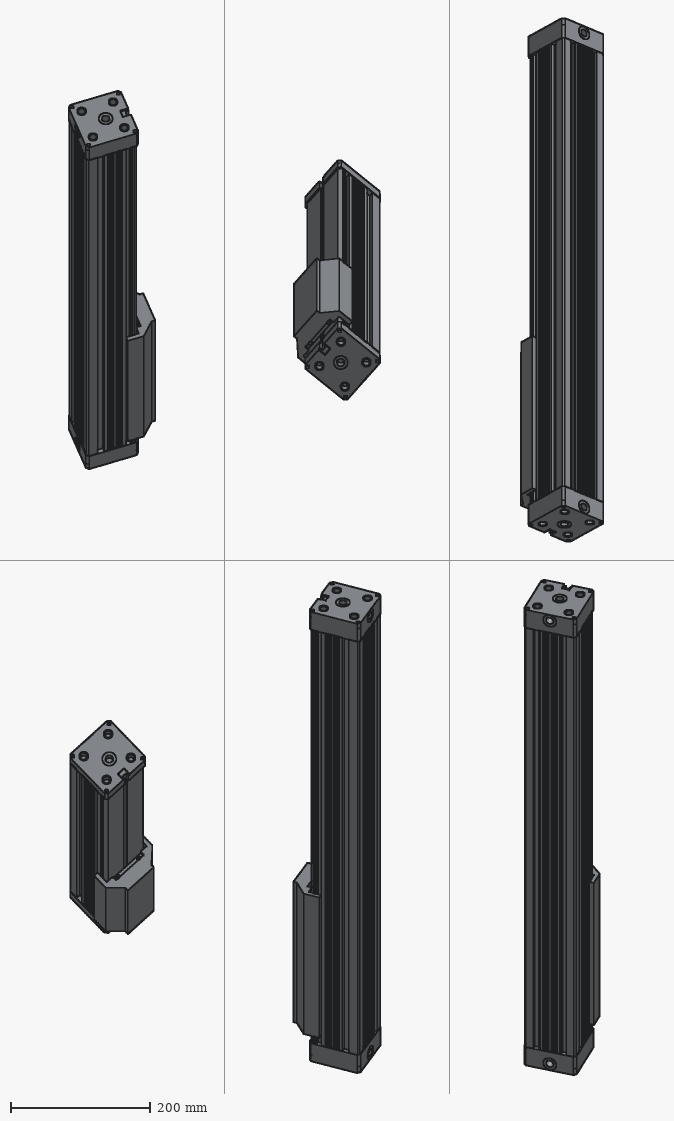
import cadquery as cq

TOTAL_LENGTH = 800.0
CAP_SIZE = 80.0
CAP_LENGTH = 32.0
CAP_HALF = CAP_SIZE / 2
MID_Z = TOTAL_LENGTH / 2

CAP_CHAMFER = 3.8
PORT_SPOT_DIAMETER = 20.0
PORT_BORE_DIAMETER = 11.0
PORT_SPOT_DEPTH = 0.5
PORT_BORE_DEPTH = 16.0
BORE_AXIS_Y = 3.4
SIDE_PORT_INSET = 11.0
MOUNT_PITCH = 48.0
MOUNT_CENTRE_Y = -0.7
MOUNT_DRILL_DIAMETER = 10.0
MOUNT_RECESS_DIAMETER = 13.0
MOUNT_RECESS_DEPTH = 1.0
MOUNT_DRILL_DEPTH = 18.0
CORNER_HOLE_PITCH = 71.0
CORNER_HOLE_DIAMETER = 4.92
CORNER_HOLE_DEPTH = 10.0
NOTCH_WIDTH = 12.0
NOTCH_FLOOR_Y = 28.0
NOTCH_DEPTH = 3.0

PROFILE_HALF_WIDTH = 39.2
PROFILE_TOP_Y = 38.0
PROFILE_TOP_CHAMFER = 5.0
PROFILE_BOTTOM_CHAMFER = 2.5
BAND_SLOT_WIDTH = 7.0
BAND_SLOT_FLOOR_Y = 35.0
GROOVE_DEPTH = 6.0
SHALLOW_DEPTH = 1.0
FRONT_GROOVE = (17.5, 25.0)
FRONT_LEDGE = (15.2, 17.5)
SIDE_UPPER_GROOVE = (20.5, 27.7)
SIDE_UPPER_LEDGE = (27.7, 30.2)
SIDE_LOWER_GROOVE = (-23.0, -13.0)
FLUTE_OFFSETS = (-9.7, -5.3, 0.0, 5.3, 9.7)
FLUTE_WIDTH = 2.2
CENTRE_FLUTE_WIDTH = 4.0

CARRIAGE_WIDTH = 92.0
CARRIAGE_LENGTH = 250.0
CARRIAGE_START_Z = 50.0
CARRIAGE_TOP_Y = 70.0
CARRIAGE_LIP_Y = 20.5
CARRIAGE_SHOULDER_Y = 45.0
CARRIAGE_BEVEL_TOP_Y = 64.5
CARRIAGE_TOP_HALF_WIDTH = 25.5
POCKET_WIDTH = 55.0
POCKET_TOP_Y = 47.0
POCKET_DEPTH = 10.0
POCKET_HOLE_SPACING = 41.0
POCKET_HOLE_DIAMETER = 4.92
POCKET_HOLE_MOUTH_DIAMETER = 6.0
POCKET_HOLE_MOUTH_DEPTH = 1.0
POCKET_HOLE_DEPTH = 12.0
POCKET_HOLE_Y = 43.3


def box_between(x_range, y_range, z_range):
    """A box given by its lower and upper limit along each axis."""
    limits = (x_range, y_range, z_range)
    size = [high - low for low, high in limits]
    corner = [low for low, high in limits]
    return cq.Workplane("XY").box(*size, centered=False).translate(tuple(corner))


def stepped_hole(points, z, recess_diameter, recess_depth, bore_diameter, bore_depth):
    """Holes going down from height z, each with a wider recess at its mouth."""
    plane = cq.Workplane("XY", origin=(0, 0, z)).pushPoints(points)
    recess = plane.circle(recess_diameter / 2).extrude(-recess_depth)
    bore = plane.circle(bore_diameter / 2).extrude(-bore_depth)
    return recess.union(bore)


def square_pattern(pitch):
    """Four points at the corners of a square centred on the Z axis."""
    return [(sx * pitch / 2, sy * pitch / 2) for sx in (-1, 1) for sy in (-1, 1)]


def make_profile():
    """The extrusion between the caps, grooved along its -Y, -X and +X faces."""
    half = PROFILE_HALF_WIDTH
    z_range = (CAP_LENGTH, TOTAL_LENGTH - CAP_LENGTH)
    profile = box_between((-half, half), (-half, PROFILE_TOP_Y), z_range)
    profile = profile.edges("|Z and >Y").chamfer(PROFILE_TOP_CHAMFER)
    profile = profile.edges("|Z and <Y").chamfer(PROFILE_BOTTOM_CHAMFER)

    flutes = []
    for offset in FLUTE_OFFSETS:
        width = FLUTE_WIDTH if offset else CENTRE_FLUTE_WIDTH
        flutes.append((offset - width / 2, offset + width / 2))

    front_cuts = [(FRONT_GROOVE, GROOVE_DEPTH), (FRONT_LEDGE, SHALLOW_DEPTH)]
    front_cuts += [((-high, -low), depth) for (low, high), depth in front_cuts]
    front_cuts += [(flute, SHALLOW_DEPTH) for flute in flutes]
    for x_range, depth in front_cuts:
        profile = profile.cut(box_between(x_range, (-half, -half + depth), z_range))

    side_cuts = [
        (SIDE_UPPER_GROOVE, GROOVE_DEPTH),
        (SIDE_UPPER_LEDGE, SHALLOW_DEPTH),
        (SIDE_LOWER_GROOVE, GROOVE_DEPTH),
    ]
    side_cuts += [((BORE_AXIS_Y + low, BORE_AXIS_Y + high), SHALLOW_DEPTH) for low, high in flutes]
    for y_range, depth in side_cuts:
        left = box_between((-half, -half + depth), y_range, z_range)
        profile = profile.cut(left).cut(left.mirror("YZ"))
    return profile


def make_top_cap():
    """The +Z end cap with its air ports, screw holes and band notch."""
    base_z = TOTAL_LENGTH - CAP_LENGTH
    cap = box_between((-CAP_HALF, CAP_HALF), (-CAP_HALF, CAP_HALF), (base_z, TOTAL_LENGTH))
    cap = cap.edges("|Z").chamfer(CAP_CHAMFER)

    end_port = stepped_hole(
        [(0, BORE_AXIS_Y)], TOTAL_LENGTH,
        PORT_SPOT_DIAMETER, PORT_SPOT_DEPTH, PORT_BORE_DIAMETER, PORT_BORE_DEPTH,
    )
    side_port = stepped_hole(
        [(0, 0)], 0, PORT_SPOT_DIAMETER, PORT_SPOT_DEPTH, PORT_BORE_DIAMETER, PORT_BORE_DEPTH
    )
    side_port = side_port.rotate((0, 0, 0), (1, 0, 0), 90)
    side_port = side_port.translate((0, -CAP_HALF, TOTAL_LENGTH - SIDE_PORT_INSET))
    mounts = stepped_hole(
        square_pattern(MOUNT_PITCH), TOTAL_LENGTH,
        MOUNT_RECESS_DIAMETER, MOUNT_RECESS_DEPTH, MOUNT_DRILL_DIAMETER, MOUNT_DRILL_DEPTH,
    ).translate((0, MOUNT_CENTRE_Y, 0))
    corner_holes = (
        cq.Workplane("XY", origin=(0, 0, TOTAL_LENGTH))
        .pushPoints(square_pattern(CORNER_HOLE_PITCH))
        .circle(CORNER_HOLE_DIAMETER / 2)
        .extrude(-CORNER_HOLE_DEPTH)
    )
    notch = box_between(
        (-NOTCH_WIDTH / 2, NOTCH_WIDTH / 2), (NOTCH_FLOOR_Y, CAP_HALF),
        (TOTAL_LENGTH - NOTCH_DEPTH, TOTAL_LENGTH),
    )
    return cap.cut(end_port).cut(side_port).cut(mounts).cut(corner_holes).cut(notch)


def make_cylinder():
    """Profile and both caps as one solid, with the band slot along the +Y face."""
    top_cap = make_top_cap()
    bottom_cap = top_cap.mirror("XY", (0, 0, MID_Z))
    band_slot = box_between(
        (-BAND_SLOT_WIDTH / 2, BAND_SLOT_WIDTH / 2), (BAND_SLOT_FLOOR_Y, CAP_HALF), (0, TOTAL_LENGTH)
    )
    return make_profile().union(top_cap).union(bottom_cap).cut(band_slot)


def make_carriage():
    """A bevelled block whose two lips grip the sides of the profile."""
    half = CARRIAGE_WIDTH / 2
    end_z = CARRIAGE_START_Z + CARRIAGE_LENGTH
    inner = PROFILE_HALF_WIDTH
    right_side = [
        (CARRIAGE_TOP_HALF_WIDTH, CARRIAGE_TOP_Y),
        (CARRIAGE_TOP_HALF_WIDTH, CARRIAGE_BEVEL_TOP_Y),
        (half, CARRIAGE_SHOULDER_Y),
        (half, CARRIAGE_LIP_Y),
        (inner, CARRIAGE_LIP_Y),
        (inner, CAP_HALF),
    ]
    left_side = [(-x, y) for x, y in reversed(right_side)]
    carriage = (
        cq.Workplane("XY", origin=(0, 0, CARRIAGE_START_Z))
        .polyline(right_side + left_side)
        .close()
        .extrude(CARRIAGE_LENGTH)
    )
    pocket = box_between(
        (-POCKET_WIDTH / 2, POCKET_WIDTH / 2), (CAP_HALF, POCKET_TOP_Y), (end_z - POCKET_DEPTH, end_z)
    )
    holes = stepped_hole(
        [(side * POCKET_HOLE_SPACING / 2, POCKET_HOLE_Y) for side in (-1, 1)], end_z - POCKET_DEPTH,
        POCKET_HOLE_MOUTH_DIAMETER, POCKET_HOLE_MOUTH_DEPTH, POCKET_HOLE_DIAMETER, POCKET_HOLE_DEPTH,
    )
    recess = pocket.union(holes)
    carriage_mid_z = CARRIAGE_START_Z + CARRIAGE_LENGTH / 2
    return carriage.cut(recess).cut(recess.mirror("XY", (0, 0, carriage_mid_z)))


cylinder = make_cylinder()
carriage = make_carriage()
result = cq.Compound.makeCompound([cylinder.val(), carriage.val()])